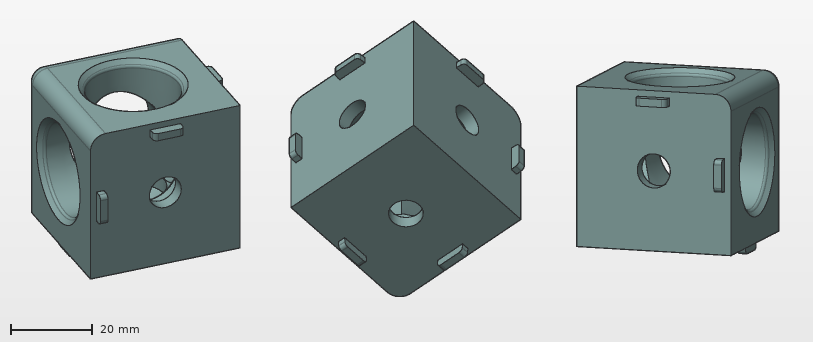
import cadquery as cq
import math

cube_size = 40.0
half_cube = cube_size / 2
edge_radius = 4.0

bore_end_diameter = 23.5
bore_draft = 0.5
mouth_diameter = 27.0
mouth_chamfer = 1.15
mouth_rounding_end = 1.9

screw_diameter = 8.5
screw_head_diameter = 16.5
countersink_start = 12.4

tab_width = 8.2
tab_tip_width = 7.9
tab_corner_radius = 1.1
tab_length = 2.5
tab_thickness = 2.0
tab_edge_distance = 2.6
tab_root = 1.0

drill_directions = [cq.Vector(1, 0, 0), cq.Vector(0, 1, 0), cq.Vector(0, 0, -1)]


def make_cube():
    """Cube with the three edges between the open sides rounded."""
    cube = cq.Workplane("XY").box(cube_size, cube_size, cube_size)
    open_corner = cq.Vertex.makeVertex(-half_cube, -half_cube, half_cube)
    open_edges = [edge for edge in cube.edges().vals() if edge.distance(open_corner) < edge_radius]
    return cube.newObject(open_edges).fillet(edge_radius)


def make_bore_cutter(direction):
    """Bore, screw head recess, countersink and screw hole as one revolved cutter.

    The profile runs from the far end back to the mouth, as (radius, distance along the direction).
    """
    bore_radius = bore_end_diameter / 2
    mouth_radius = mouth_diameter / 2
    screw_radius = screw_diameter / 2
    head_radius = screw_head_diameter / 2
    countersink_end = countersink_start + head_radius - screw_radius

    recess_start = math.sqrt(bore_radius**2 - head_radius**2)

    draft = math.radians(bore_draft)
    wall_end = (bore_radius * math.cos(draft), -bore_radius * math.sin(draft))
    wall_length = half_cube - mouth_rounding_end
    wall_start_radius = (bore_radius + wall_length * math.sin(draft)) / math.cos(draft)
    sphere_point_angle = math.asin(recess_start / bore_radius) / 2
    sphere_point = (bore_radius * math.cos(sphere_point_angle), bore_radius * math.sin(sphere_point_angle))

    square_to_axis = cq.Vector(direction.y, direction.z, direction.x)
    plane = cq.Plane(
        origin=(0, 0, 0),
        xDir=square_to_axis.toTuple(),
        normal=square_to_axis.cross(direction).toTuple(),
    )
    profile = (
        cq.Workplane(plane)
        .moveTo(0, half_cube)
        .lineTo(screw_radius, half_cube)
        .lineTo(screw_radius, countersink_end)
        .lineTo(head_radius, countersink_start)
        .lineTo(head_radius, recess_start)
        .threePointArc(sphere_point, wall_end)
        .lineTo(wall_start_radius, -wall_length)
        .tangentArcPoint((mouth_radius - mouth_chamfer, mouth_chamfer - half_cube), relative=False)
        .lineTo(mouth_radius, -half_cube)
        .lineTo(0, -half_cube)
        .close()
    )
    return profile.revolve(360, (0, 0, 0), (0, 1, 0))


def make_tab(outward, toward_edge):
    """Tab standing out of one mating side, near one edge, with rounded tip corners."""
    inner_face_distance = half_cube - tab_edge_distance - tab_thickness / 2
    along_edge = outward.cross(toward_edge)
    plane = cq.Plane(
        origin=(outward * half_cube + toward_edge * inner_face_distance).toTuple(),
        xDir=along_edge.toTuple(),
        normal=along_edge.cross(outward).toTuple(),
    )
    outline = [
        (-tab_width / 2, -tab_root),
        (-tab_width / 2, 0),
        (-tab_tip_width / 2, tab_length),
        (tab_tip_width / 2, tab_length),
        (tab_width / 2, 0),
        (tab_width / 2, -tab_root),
    ]
    tab = cq.Workplane(plane).polyline(outline).close().extrude(tab_thickness)
    tip = tab.faces(cq.selectors.DirectionMinMaxSelector(outward))
    return tip.edges(cq.selectors.ParallelDirSelector(toward_edge)).fillet(tab_corner_radius)


result = make_cube()

for direction in drill_directions:
    result = result.cut(make_bore_cutter(direction))

for outward in drill_directions:
    for direction in drill_directions:
        if direction != outward:
            result = result.union(make_tab(outward, -direction))